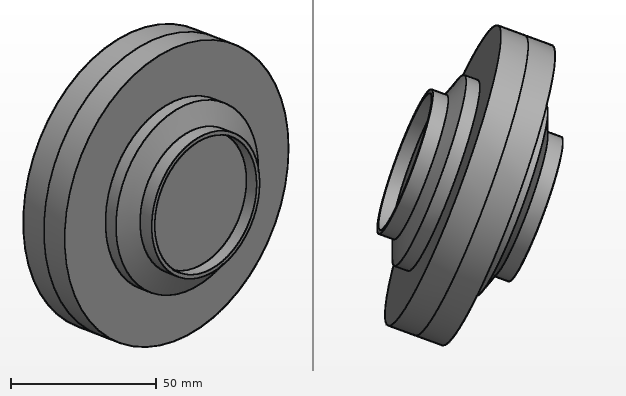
import cadquery as cq

flange_diameter = 110.0
flange_thickness = 10.0
hub_diameter = 70.0
hub_length = 5.1
cone_length = 3.3
collar_diameter = 53.0
half_length = 24.0
bore_diameter = 50.0
bore_depth = 5.0

hub_end = flange_thickness + hub_length
cone_end = hub_end + cone_length


def flange_half(side):
    """Make one half, reaching from X = 0 toward side (+1 or -1)."""
    profile = [
        (0, 0),
        (0, flange_diameter / 2),
        (flange_thickness, flange_diameter / 2),
        (flange_thickness, hub_diameter / 2),
        (hub_end, hub_diameter / 2),
        (cone_end, collar_diameter / 2),
        (half_length, collar_diameter / 2),
        (half_length, bore_diameter / 2),
        (half_length - bore_depth, bore_diameter / 2),
        (half_length - bore_depth, 0),
    ]
    outline = [(side * x, radius) for x, radius in profile]
    return cq.Workplane("XY").polyline(outline).close().revolve(360, (0, 0, 0), (1, 0, 0))


flange_halves = [flange_half(side) for side in (-1, 1)]

result = cq.Compound.makeCompound([half.val() for half in flange_halves])